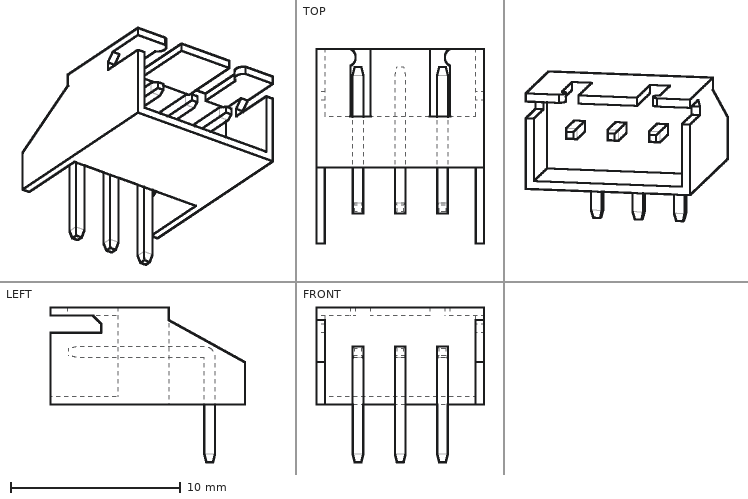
import cadquery as cq


housing_length = 11.5
housing_width = 9.9
shroud_depth = 7.0
housing_height = 5.75
wall = 0.5
cavity_depth = 4.0

wing_length = housing_length - shroud_depth
wing_front_height = 4.99
wing_rear_height = 2.51

slot_width = 1.2
slot_offset = 2.0
bump_length = 1.0
bump_height = 0.32

window_depth = 3.0
window_height = 1.0
window_chamfer = 0.5

pin_count = 3
pin_pitch = 2.5
pin_width = 0.64
pin_top = 3.44
pin_bottom = -3.4
pin_rear = -2.73
pin_mouth_gap = 1.08
tip_length = 0.5
tip_width = 0.4

housing_side = housing_width / 2
cavity_back = shroud_depth - cavity_depth
pin_front = shroud_depth - pin_mouth_gap
pin_positions = [(i - (pin_count - 1) / 2) * pin_pitch for i in range(pin_count)]


def side_profile(x_start, points, thickness):
    """Extrude a closed outline of (y, z) points along +X from x_start."""
    return cq.Workplane("YZ", origin=(x_start, 0, 0)).polyline(points).close().extrude(thickness)


def box_between(x_range, y_range, z_range):
    """Box spanning the given (low, high) ranges."""
    sizes = [high - low for low, high in (x_range, y_range, z_range)]
    corner = (x_range[0], y_range[0], z_range[0])
    return cq.Workplane("XY", origin=corner).box(*sizes, centered=False)


def make_shroud():
    """Rectangular body with a cavity that opens at the +Y mouth."""
    body = box_between((-housing_side, housing_side), (0, shroud_depth), (0, housing_height))
    inner_side = housing_side - wall
    cavity = box_between(
        (-inner_side, inner_side),
        (cavity_back, shroud_depth),
        (wall, housing_height - wall),
    )
    return body.cut(cavity)


def make_wing(x_start):
    """Thin side plate behind the shroud with a sloping top edge."""
    outline = [
        (0, 0),
        (-wing_length, 0),
        (-wing_length, wing_rear_height),
        (0, wing_front_height),
    ]
    return side_profile(x_start, outline, wall)


def make_latch_slot():
    """Left-hand slot cutter; a rounded bump on its outer edge narrows the mouth."""
    outer_x = slot_offset - housing_side
    inner_x = outer_x + slot_width
    return (
        cq.Workplane("XY", origin=(0, 0, housing_height - wall))
        .moveTo(outer_x, cavity_back)
        .lineTo(inner_x, cavity_back)
        .lineTo(inner_x, shroud_depth)
        .lineTo(outer_x, shroud_depth)
        .threePointArc(
            (outer_x + bump_height, shroud_depth - bump_length / 2),
            (outer_x, shroud_depth - bump_length),
        )
        .close()
        .extrude(wall)
    )


def make_side_windows():
    """Cutter for both side windows, chamfered at the upper inner corner."""
    top = housing_height - wall
    bottom = top - window_height
    inner_end = shroud_depth - window_depth
    outline = [
        (shroud_depth, bottom),
        (inner_end, bottom),
        (inner_end, top - window_chamfer),
        (inner_end + window_chamfer, top),
        (shroud_depth, top),
    ]
    return side_profile(-housing_side, outline, housing_width)


def make_tip(base_center, normal):
    """Square taper that starts at base_center and narrows along normal."""
    plane = cq.Plane(origin=base_center, xDir=(1, 0, 0), normal=normal)
    return (
        cq.Workplane(plane)
        .rect(pin_width, pin_width)
        .workplane(offset=tip_length)
        .rect(tip_width, tip_width)
        .loft()
    )


def make_pin(x_center):
    """L-shaped square pin, rounded outside the bend and tapered at both ends."""
    shaft_front = pin_front - tip_length
    shaft_bottom = pin_bottom + tip_length
    bend_y = pin_rear + pin_width
    bend_z = pin_top - pin_width
    outline = [
        (shaft_front, pin_top),
        (pin_rear, pin_top),
        (pin_rear, shaft_bottom),
        (bend_y, shaft_bottom),
        (bend_y, bend_z),
        (shaft_front, bend_z),
    ]
    shaft = side_profile(x_center - pin_width / 2, outline, pin_width)
    outer_bend = cq.selectors.NearestToPointSelector((x_center, pin_rear, pin_top))
    shaft = shaft.edges(outer_bend).fillet(pin_width)
    mating_tip = make_tip((x_center, shaft_front, pin_top - pin_width / 2), (0, 1, 0))
    solder_tip = make_tip((x_center, pin_rear + pin_width / 2, shaft_bottom), (0, 0, -1))
    return shaft.union(mating_tip).union(solder_tip)


def make_pin_hole(x_center):
    """Square passage for one pin through the rear wall of the shroud."""
    half_width = pin_width / 2
    return box_between(
        (x_center - half_width, x_center + half_width),
        (0, cavity_back),
        (pin_top - pin_width, pin_top),
    )


def make_housing():
    """Shroud and wings with the slots, windows and pin holes cut."""
    body = make_shroud()
    for x_start in (-housing_side, housing_side - wall):
        body = body.union(make_wing(x_start))
    latch_slot = make_latch_slot()
    body = body.cut(latch_slot).cut(latch_slot.mirror("YZ"))
    body = body.cut(make_side_windows())
    for x_center in pin_positions:
        body = body.cut(make_pin_hole(x_center))
    return body


housing = make_housing()
pins = [make_pin(x_center) for x_center in pin_positions]

result = cq.Compound.makeCompound([housing.solids().val(), *[pin.solids().val() for pin in pins]])